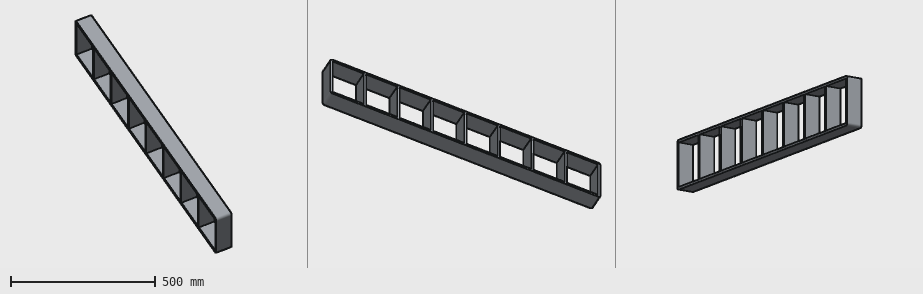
import cadquery as cq

length = 1054.0
depth = 60.0
height = 179.0

wall = 10.0
corner_radius = wall
cell_count = 8
cell_pitch = (length - wall) / cell_count
cell_width = cell_pitch - wall
cell_height = height - 2 * wall

frame = cq.Workplane("XY").box(length, depth, height)
frame = frame.edges("|Y").fillet(corner_radius)

openings = (
    cq.Workplane("XZ")
    .rarray(cell_pitch, 11, cell_count, 1)
    .rect(cell_width, cell_height)
    .extrude(depth, both=True)
)

result = frame.cut(openings)